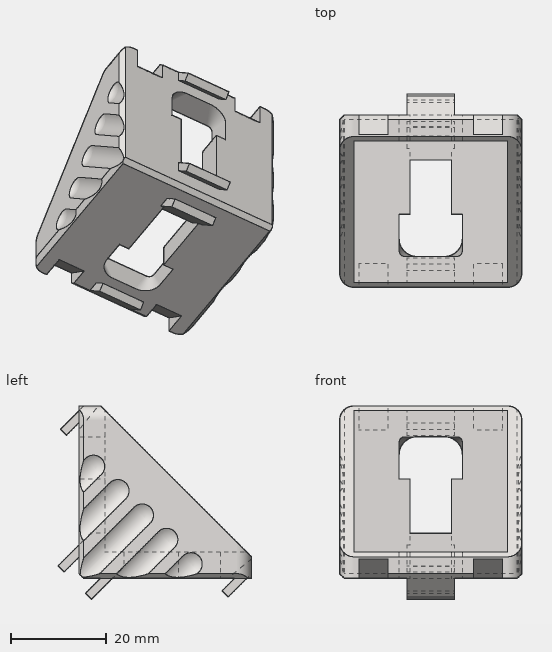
import cadquery as cq
import math

width = 38.0
overall = 40.35
leg = 36.0
end_face = 4.52
corner_radius = 3.0
edge_chamfer = 1.0

side_wall = 3.0
leg_wall = 5.5

slot_start = 9.45
slot_step = 20.8
slot_end = 29.55
slot_narrow = 8.55
slot_wide = 13.15
slot_inner_radius = 1.15
slot_outer_radius = 3.7

tongue_width = 17.85
tongue_bevel = 1.0
notch_span = 30.03
notch_height = 4.08
notch_depth = 5.0

tab_width = 10.0
tab_run = 2.55
tab_root = 0.8
heel_tab_reach = 7.0
heel_tab_drop = overall - leg
end_tab_reach = leg - tongue_bevel
end_tab_drop = 3.87

groove_count = 5
groove_radius = 4.0
groove_depth = 0.75
groove_pitch = 5.1
groove_center = 13.2
groove_length = 28.25


def side_prism(points, span):
    """Prism centred on x = 0 from (reach, height) points of its side profile."""
    outline = [(-reach, height) for reach, height in points]
    return cq.Workplane("YZ").polyline(outline).close().extrude(span / 2, both=True)


def swap_legs(base_feature):
    """Turn a base-leg feature half a turn about the heel bisector, onto the upright leg."""
    return base_feature.rotate((0, 0, 0), (0, -1, 1), 180)


def leg_end_rounding():
    """Upright block that rounds the vertical corners at the end of the base leg."""
    block = cq.Workplane("XY").box(width, leg, leg, centered=(True, False, False))
    return block.translate((0, -leg, 0)).edges("|Z and <Y").fillet(corner_radius)


def make_body():
    outline = [(0, 0), (leg, 0), (leg, end_face), (end_face, leg), (0, leg)]
    body = side_prism(outline, width)
    outer_edges = body.faces("<Z or >Y").edges("|Y or |Z")
    body = outer_edges.chamfer(edge_chamfer)
    heel_cut = side_prism([(0, 0), (edge_chamfer, 0), (0, edge_chamfer)], width)
    rounding = leg_end_rounding()
    return body.cut(heel_cut).intersect(rounding).intersect(swap_legs(rounding))


def make_cavity():
    outline = [(leg_wall, leg_wall), (leg, leg_wall), (leg, leg), (leg_wall, leg)]
    return side_prism(outline, width - 2 * side_wall)


def wide_slot_outline(plane, radius):
    """Wide end of the keyhole, with its two far corners rounded."""
    half = slot_wide / 2
    arc_mid = radius * (1 - math.sqrt(0.5))
    return (
        plane.moveTo(-half, -slot_step)
        .lineTo(half, -slot_step)
        .lineTo(half, -slot_end + radius)
        .threePointArc((half - arc_mid, -slot_end + arc_mid), (half - radius, -slot_end))
        .lineTo(-half + radius, -slot_end)
        .threePointArc((-half + arc_mid, -slot_end + arc_mid), (-half, -slot_end + radius))
        .close()
    )


def make_slot():
    outer = wide_slot_outline(cq.Workplane("XY"), slot_outer_radius)
    wide = wide_slot_outline(outer.workplane(offset=leg_wall), slot_inner_radius).loft(ruled=True)
    narrow_outline = [
        (heel_tab_reach, 0),
        (slot_step, 0),
        (slot_step, leg_wall),
        (slot_start, leg_wall),
        (slot_start, slot_start - heel_tab_reach),
    ]
    return wide.union(side_prism(narrow_outline, slot_narrow))


def make_end_notches():
    notch_outline = [(leg - notch_depth, 0), (leg, 0), (leg, notch_height)]
    bevel_outline = [(leg - tongue_bevel, 0), (leg, 0), (leg, tongue_bevel)]
    notches = side_prism(notch_outline, notch_span).cut(side_prism(notch_outline, tongue_width))
    return notches.union(side_prism(bevel_outline, tongue_width))


def make_tab(reach, drop):
    """Tab slanting down toward the heel at 45 degrees, with a square-cut tip `drop` below the leg."""
    tip_shift = tab_run / 2
    outline = [
        (reach + tab_root, tab_root),
        (reach - drop, -drop),
        (reach - drop - tip_shift, -drop + tip_shift),
        (reach - tab_run + tab_root, tab_root),
    ]
    return side_prism(outline, tab_width)


def make_groove(reach, height, side):
    """Round-ended groove running from (reach, height) at 45 degrees toward the heel edges."""
    axis_x = side * (width / 2 + groove_radius - groove_depth)
    start = cq.Vector(axis_x, -reach, height)
    barrel = cq.Solid.makeCylinder(groove_radius, groove_length, start, cq.Vector(0, 1, -1))
    end_ball = cq.Workplane("XY").sphere(groove_radius).translate(start)
    return end_ball.union(cq.Workplane(barrel))


result = make_body().cut(make_cavity())

for leg_cut in (make_slot(), make_end_notches()):
    result = result.cut(leg_cut).cut(swap_legs(leg_cut))

for tab in (make_tab(heel_tab_reach, heel_tab_drop), make_tab(end_tab_reach, end_tab_drop)):
    result = result.union(tab).union(swap_legs(tab))

for index in range(groove_count):
    offset = (index - (groove_count - 1) / 2) * groove_pitch
    for side in (-1, 1):
        result = result.cut(make_groove(groove_center + offset, groove_center - offset, side))